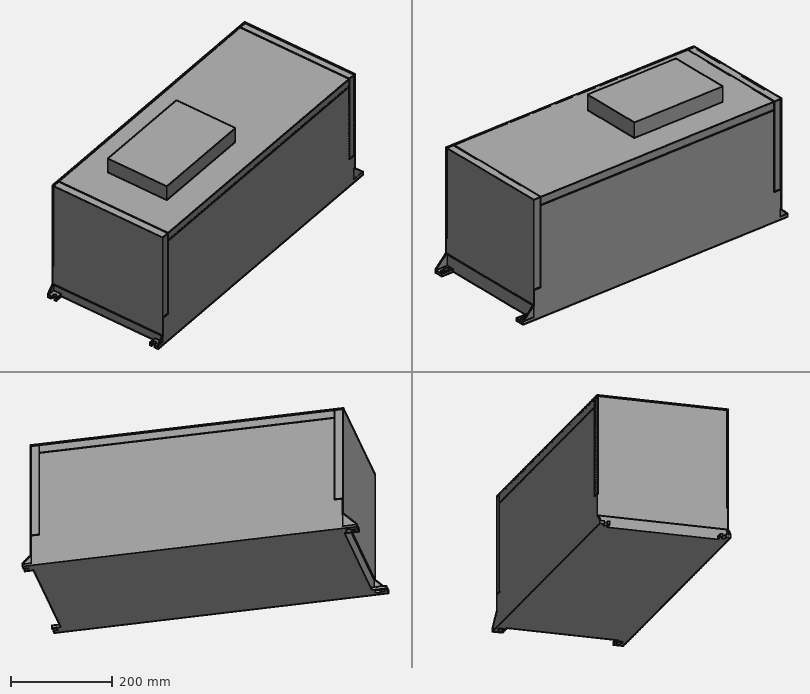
import cadquery as cq

WIDTH = 273.0
LENGTH = 680.0
HEIGHT = 310.0

REAR_EAR_LENGTH = 27.0
FRONT_EAR_LENGTH = 15.5
REAR_FACE_Y = LENGTH / 2 - REAR_EAR_LENGTH
FRONT_FACE_Y = -LENGTH / 2 + FRONT_EAR_LENGTH
PANEL_HEIGHT = 35.5
COVER_TOP_Z = HEIGHT - PANEL_HEIGHT
SKIRT_DEPTH = 20.0
SKIRT_BOTTOM_Z = COVER_TOP_Z - SKIRT_DEPTH
SHEET = 2.0
INSIDE_X = (SHEET - WIDTH / 2, WIDTH / 2 - SHEET)

CAP_DEPTH = 18.5
CAP_LIP_BOTTOM_Z = 69.0
FRONT_PLATE_BOTTOM_Z = 22.5
REAR_PLATE_BOTTOM_Z = 33.0

PANEL_WIDTH = 145.5
PANEL_LENGTH = 227.0
PANEL_REAR_Y = 1.5

EAR_WIDTH = 21.0
EAR_THICKNESS = 6.0
GUSSET_TIP_HEIGHT = 7.0
HOLE_EDGE_DISTANCE = 13.0
SLOT_WIDTH = 7.0
FRONT_SLOT_DEPTH = 10.0
KEYHOLE_DIAMETER = 11.5
KEYHOLE_END_MARGIN = 5.0
KEYHOLE_LENGTH = 20.0


def block(x_range, y_range, z_range):
    """Box between the given pairs of limits."""
    size = [limits[1] - limits[0] for limits in (x_range, y_range, z_range)]
    corner = (x_range[0], y_range[0], z_range[0])
    return cq.Workplane("XY").box(*size, centered=False).translate(corner)


def full_width(y_range, z_range):
    """Box across the whole width of the enclosure."""
    return block((-WIDTH / 2, WIDTH / 2), y_range, z_range)


def make_end_cap(face_y, inward, plate_bottom_z):
    """Sheet cap with its outer face at face_y; inward is the Y direction into the enclosure."""
    lip_y = sorted((face_y, face_y + inward * CAP_DEPTH))
    plate_y = sorted((face_y, face_y + inward * SHEET))
    lips = full_width(lip_y, (CAP_LIP_BOTTOM_Z, COVER_TOP_Z))
    inside = block(INSIDE_X, lip_y, (CAP_LIP_BOTTOM_Z, COVER_TOP_Z - SHEET))
    plate = full_width(plate_y, (plate_bottom_z, COVER_TOP_Z))
    return lips.cut(inside).union(plate)


def make_top_cover():
    """Flat sheet with a skirt down each long side."""
    cover_y = (FRONT_FACE_Y + CAP_DEPTH, REAR_FACE_Y - CAP_DEPTH)
    cover = full_width(cover_y, (SKIRT_BOTTOM_Z, COVER_TOP_Z))
    return cover.cut(block(INSIDE_X, cover_y, (SKIRT_BOTTOM_Z, COVER_TOP_Z - SHEET)))


def make_control_panel():
    panel_y = (PANEL_REAR_Y - PANEL_LENGTH, PANEL_REAR_Y)
    return block((-PANEL_WIDTH / 2, PANEL_WIDTH / 2), panel_y, (COVER_TOP_Z, HEIGHT))


def make_ear(side, tip_y, root_y):
    """Uncut foot and 45-degree gusset; side is -1 or +1 for the X side."""
    outer_x = side * WIDTH / 2
    foot_x = sorted((outer_x, outer_x - side * EAR_WIDTH))
    foot = block(foot_x, sorted((tip_y, root_y)), (0, EAR_THICKNESS))
    gusset = (
        cq.Workplane("YZ", origin=(outer_x, 0, 0))
        .moveTo(tip_y, 0)
        .lineTo(tip_y, GUSSET_TIP_HEIGHT)
        .lineTo(root_y, GUSSET_TIP_HEIGHT + abs(root_y - tip_y))
        .lineTo(root_y, 0)
        .close()
        .extrude(-side * SHEET)
    )
    return foot.union(gusset)


def make_front_slot(x):
    """Open slot with a round inner end."""
    end_y = -LENGTH / 2
    arc_y = end_y + FRONT_SLOT_DEPTH - SLOT_WIDTH / 2
    channel = block((x - SLOT_WIDTH / 2, x + SLOT_WIDTH / 2), (end_y, arc_y), (0, EAR_THICKNESS))
    inner_end = cq.Workplane("XY").center(x, arc_y).circle(SLOT_WIDTH / 2).extrude(EAR_THICKNESS)
    return channel.union(inner_end)


def make_keyhole(x):
    """Round hole with a narrower slot running towards the ear tip."""
    tip_y = LENGTH / 2 - KEYHOLE_END_MARGIN
    arc_y = tip_y - SLOT_WIDTH / 2
    hole_y = tip_y - KEYHOLE_LENGTH + KEYHOLE_DIAMETER / 2
    hole = cq.Workplane("XY").center(x, hole_y).circle(KEYHOLE_DIAMETER / 2).extrude(EAR_THICKNESS)
    neck = block((x - SLOT_WIDTH / 2, x + SLOT_WIDTH / 2), (hole_y, arc_y), (0, EAR_THICKNESS))
    neck_end = cq.Workplane("XY").center(x, arc_y).circle(SLOT_WIDTH / 2).extrude(EAR_THICKNESS)
    return hole.union(neck).union(neck_end)


def make_chassis():
    """Main body with four ears, recessed by the sheet thickness under the covers."""
    front_y = FRONT_FACE_Y + SHEET
    rear_y = REAR_FACE_Y - SHEET
    chassis = full_width((front_y, rear_y), (0, COVER_TOP_Z))
    for side in (-1, 1):
        hole_x = side * (WIDTH / 2 - HOLE_EDGE_DISTANCE)
        front_ear = make_ear(side, -LENGTH / 2, front_y).cut(make_front_slot(hole_x))
        rear_ear = make_ear(side, LENGTH / 2, rear_y).cut(make_keyhole(hole_x))
        chassis = chassis.union(front_ear).union(rear_ear)
    return chassis.cut(front_cap).cut(rear_cap).cut(top_cover)


front_cap = make_end_cap(FRONT_FACE_Y, 1, FRONT_PLATE_BOTTOM_Z)
rear_cap = make_end_cap(REAR_FACE_Y, -1, REAR_PLATE_BOTTOM_Z)
top_cover = make_top_cover()
control_panel = make_control_panel()
chassis = make_chassis()

result = cq.Compound.makeCompound(
    [chassis.val(), front_cap.val(), rear_cap.val(), top_cover.val(), control_panel.val()]
)